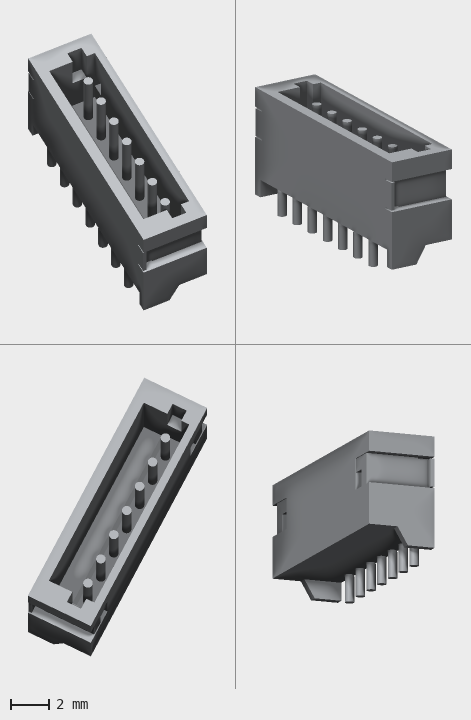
import cadquery as cq

length = 13.5
depth = 3.7
height = 6.5
housing_bottom = 1.47

foot_bottom = 0.5
foot_width = 0.5
foot_depth_bottom = 1.51
foot_depth_top = 2.09

end_wall = 1.24
front_wall = 0.61
back_wall = 0.42
floor_front = 2.47
step_front = 1.66
step_back = 1.96
floor_back = floor_front + step_back - step_front

notch_outer = 0.62
notch_front = 1.98
notch_back = 2.81
notch_floor = 4.67

groove_bottom = 3.71
groove_top = 5.4
groove_depth = 0.49
tab_setback = 0.05
tab_thickness = 0.2
slot_height = 0.08
slot_end = 0.63
slot_depth = 0.74
back_recess_depth = 0.05
window_end = 1.95

pin_count = 7
pin_pitch = 1.5
pin_diameter = 0.5
pin_radius = pin_diameter / 2
pin_back_y = 2.39
pin_top = 5.79
bend_start = 1.34
bend_radius = pin_diameter


def block(x0, x1, y0, y1, z0, z1):
    """Box between two opposite corners."""
    return cq.Workplane("XY").box(x1 - x0, y1 - y0, z1 - z0, centered=False).translate((x0, y0, z0))


def mirrored(shape):
    """A feature at the left end, joined with its copy at the right end."""
    return shape.union(shape.mirror("YZ", (length / 2, 0, 0)))


def side_profile(points, x0, x1):
    """(Y, Z) outline extruded from x0 to x1."""
    return cq.Workplane("YZ", origin=(x0, 0, 0)).polyline(points).close().extrude(x1 - x0)


def make_foot():
    outline = [
        (0, foot_bottom),
        (foot_depth_bottom, foot_bottom),
        (foot_depth_top, housing_bottom),
        (0, housing_bottom),
    ]
    return side_profile(outline, 0, foot_width)


def make_cavity():
    outline = [
        (front_wall, height),
        (front_wall, floor_front),
        (step_front, floor_front),
        (step_back, floor_back),
        (depth - back_wall, floor_back),
        (depth - back_wall, height),
    ]
    return side_profile(outline, end_wall, length - end_wall)


def make_notch():
    return block(notch_outer, end_wall, notch_front, notch_back, notch_floor, height)


def make_groove():
    """Groove across the end, leaving a tab at the front that thin slots set free above and below."""
    groove = block(0, groove_depth, tab_thickness, depth, groove_bottom, groove_top)
    groove = groove.union(block(0, tab_setback, 0, tab_thickness, groove_bottom, groove_top))
    for slot_bottom in (groove_bottom, groove_top - slot_height):
        slot = block(0, slot_end, 0, slot_depth, slot_bottom, slot_bottom + slot_height)
        groove = groove.union(slot)
    return groove


def make_back_window():
    """Shallow recess on the back face with a window through the back wall into the cavity."""
    recess = block(0, window_end, depth - back_recess_depth, depth, groove_bottom, groove_top)
    window = block(end_wall, window_end, depth - back_wall, depth, groove_bottom, notch_floor)
    return recess.union(window)


def make_pin(x):
    """Round pin: up at the front, back through the housing, then up inside the cavity."""
    run_z = bend_start + bend_radius
    path = (
        cq.Workplane("YZ", origin=(x, 0, 0))
        .moveTo(pin_radius, 0)
        .lineTo(pin_radius, bend_start)
        .radiusArc((pin_radius + bend_radius, run_z), bend_radius)
        .lineTo(pin_back_y - bend_radius, run_z)
        .radiusArc((pin_back_y, run_z + bend_radius), -bend_radius)
        .lineTo(pin_back_y, pin_top)
    )
    return cq.Workplane("XY", origin=(x, pin_radius, 0)).circle(pin_radius).sweep(path)


housing = block(0, length, 0, depth, housing_bottom, height)
housing = housing.union(mirrored(make_foot()))
for pocket in (make_notch(), make_groove(), make_back_window()):
    housing = housing.cut(mirrored(pocket))
housing = housing.cut(make_cavity())

first_pin_x = (length - (pin_count - 1) * pin_pitch) / 2
for index in range(pin_count):
    housing = housing.union(make_pin(first_pin_x + index * pin_pitch))

result = housing